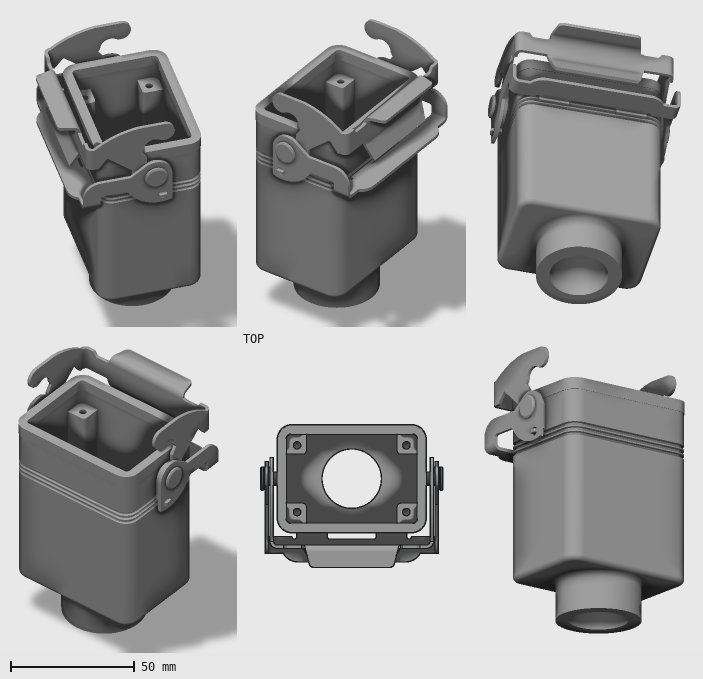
import cadquery as cq
import math

DIAGONAL = math.sqrt(0.5)

OVERALL_X, OVERALL_Y = 74.0, 58.0

BODY_X, BODY_Y = 60.0, 43.6
LIP_X, LIP_Y = 60.5, 43.9
CORNER_R = 6.0
RIM_Z = 93.1
LIP_HEIGHT = 4.9
LIP_Z = RIM_Z - LIP_HEIGHT
BASE_Z = 15.9
BASE_FILLET = 2.1

SPOUT_D = 35.0
CABLE_HOLE_D = 24.0

GROOVE_COUNT = 3
GROOVE_TOP_Z = 74.5
GROOVE_PITCH = 2.1
GROOVE_HEIGHT = 1.5
GROOVE_DEPTH = 1.0
GROOVE_BEVEL = 0.3

MOUTH_X, MOUTH_Y = 53.0, 36.0
MOUTH_R = 1.7
CAVITY_GROWTH = 0.9
CAVITY_X, CAVITY_Y = MOUTH_X + CAVITY_GROWTH, MOUTH_Y + CAVITY_GROWTH
CAVITY_R = 3.2
FLOOR_THICKNESS = 3.5
FLOOR_Z = BASE_Z + FLOOR_THICKNESS

POST_TOP_Z = 81.3
POST_SIDE = 8.1
POST_EDGE_R = 1.4
SCREW_X, SCREW_Y = 22.1, 13.5
QUADRANTS = [(-1, -1), (-1, 1), (1, -1), (1, 1)]
SCREW_D = 3.0
SCREW_DEPTH = 8.7
DRILL_TIP_ANGLE = 118.0

SHEET = 1.4
BEND_IN = 1.4
BEND_OUT = BEND_IN + SHEET

PIVOT_Z = 84.0
RIVET_D = 2.9
SHANK_D = 5.5
HEAD_D = 9.6
HEAD_IN_X, HEAD_OUT_X = 35.5, OVERALL_X / 2
HEAD_BEVEL_R = 0.7
HEAD_BEVEL_X = 0.4

HOOK_OUT_X = 33.1
HOOK_IN_X = HOOK_OUT_X - SHEET
BAIL_OUT_X = 35.1
BAIL_IN_X = BAIL_OUT_X - SHEET

HOOK_TOP_Z = 109.0
TIP_R = 4.3
TIP_Y, TIP_Z = 4.4, HOOK_TOP_Z - TIP_R
CATCH_R = 4.4
CATCH_Y, CATCH_Z = 0.0, 97.5
CREST_Y, CREST_Z = -16.1, 106.7
CREST_START_Y = -6.8
SPUR_Y, SPUR_Z = -5.3, 95.6
NOTCH_Y, NOTCH_Z = -19.8, 96.1
NOTCH_END_Y = -23.5
NOTCH_R = 0.7
NECK_FRONT_Z, NECK_BACK_Z = 87.2, 92.5
NECK_BACK_Y, NECK_FRONT_Y = -3.0, -9.2
EYE_R = 5.5
HEEL_R = 8.1
HEEL_Z = 74.3

TAB_Y, TAB_Z = 3.0, 73.1
TAB_WIDTH = 3.3
TAB_TIP_R = 0.8
TAB_OUT_X = 36.2
TAB_HOLE_D = 3.6

CROSS_FRONT_Y = -28.2
CROSS_BACK_Y = CROSS_FRONT_Y + SHEET
CROSS_BEND_Y = CROSS_FRONT_Y + BEND_OUT
CROSS_BOTTOM_Z, CROSS_TOP_Z = 91.5, 101.6
DIP_Z = 99.5
DIP_IN_X, DIP_OUT_X = 20.4, 26.3
DIP_SLOPE_X = 1.3
DIP_R = 0.9

HANDLE_END_Y = LIP_Y / 2 - OVERALL_Y
HANDLE_TOP_Z = 102.8
HANDLE_ROOT_X, HANDLE_END_X = 19.2, 16.9
FLAP_ROOT_X, FLAP_END_X = 20.3, 17.7
FLAP_BEND_Z, FLAP_END_Z = 89.9, 81.8
FLAP_ANGLE = 24.0
PLATE_CORNER_R = 1.2
HANDLE_CORNER_R = 2.0

BAIL_EYE_R = 7.0
BAIL_SWEEP_R = 15.2
BAIL_SWEEP_Y, BAIL_SWEEP_Z = 2.1, 84.7
BAIL_SWEEP_END_Y = -9.4
BAIL_THROAT_Y = -12.1
BAIL_SHOULDER_ANGLE = 54.0
BAIL_ARM_TOP_Z = 85.1
BAIL_ARM_WIDTH = 7.0
BAIL_LEG_FRONT_Y = -30.3
BAIL_LEG_BACK_Y = BAIL_LEG_FRONT_Y + BAIL_ARM_WIDTH
STRAP_BOTTOM_Z = 71.9
STRAP_TOP_Z = STRAP_BOTTOM_Z + SHEET
STRAP_FRONT_Y = -33.8
STRAP_FRONT_X = 21.7
STRAP_SHOULDER_R = 7.1
STRAP_RELIEF_Y = -24.4
STOP_IN_X, STOP_OUT_X = 9.9, 22.3
STOP_CORNER_R = 1.3
STOP_BOTTOM_Z = 70.8
RELIEF_R = 0.93
RELIEF_CORNER_R = 1.1


def rounded_prism(size_x, size_y, corner_r, z_from, z_to):
    prism = cq.Workplane("XY").workplane(offset=z_from).rect(size_x, size_y).extrude(z_to - z_from)
    return prism.edges("|Z").fillet(corner_r)


def rod(diameter, x_from, x_to, y=0.0, z=PIVOT_Z):
    start = cq.Workplane("YZ", origin=(x_from, 0, 0)).center(y, z)
    return start.circle(diameter / 2).extrude(x_to - x_from)


def on_both_sides(shape):
    return shape.union(shape.mirror("YZ"))


def groove_cutter(top_z):
    """Ring with sloping walls that cuts one groove all around the hood."""
    bottom_z = top_z - GROOVE_HEIGHT
    wall_angle = math.degrees(math.atan2(GROOVE_DEPTH, GROOVE_BEVEL))
    lower = rounded_prism(BODY_X, BODY_Y, CORNER_R, bottom_z, top_z).faces("<Z").wires().toPending()
    lower = lower.extrude(GROOVE_BEVEL, taper=wall_angle, combine=False)
    upper = lower.mirror("XY", (0, 0, (bottom_z + top_z) / 2))
    core = rounded_prism(BODY_X - 2 * GROOVE_DEPTH, BODY_Y - 2 * GROOVE_DEPTH,
                         CORNER_R - GROOVE_DEPTH, bottom_z, top_z)
    block = cq.Workplane("XY").workplane(offset=bottom_z).rect(LIP_X, LIP_Y).extrude(GROOVE_HEIGHT)
    return block.cut(core).cut(lower).cut(upper)


def screw_hole(x, y):
    """Blind hole with a conical drill tip."""
    tip_depth = SCREW_D / 2 / math.tan(math.radians(DRILL_TIP_ANGLE / 2))
    radius = SCREW_D / 2
    profile = [(0, 0), (radius, 0), (radius, -SCREW_DEPTH), (0, -SCREW_DEPTH - tip_depth)]
    hole = cq.Workplane("XZ").polyline(profile).close().revolve(360, (0, 0), (0, 1))
    return hole.translate((x, y, POST_TOP_Z))


def make_cavity():
    cavity = rounded_prism(CAVITY_X, CAVITY_Y, CAVITY_R, FLOOR_Z, LIP_Z)
    cavity = cavity.union(rounded_prism(MOUTH_X, MOUTH_Y, MOUTH_R, LIP_Z, RIM_Z))
    post = rounded_prism(2 * POST_SIDE, 2 * POST_SIDE, POST_EDGE_R, FLOOR_Z, POST_TOP_Z)
    for side_x, side_y in QUADRANTS:
        cavity = cavity.cut(post.translate((side_x * MOUTH_X / 2, side_y * MOUTH_Y / 2, 0)))
    return cavity


def make_spout():
    """Round spout that flares into the underside of the box."""
    radius = SPOUT_D / 2
    flare = BASE_FILLET * (1 - DIAGONAL)
    profile = (
        cq.Workplane("XZ")
        .lineTo(-radius, 0)
        .lineTo(-radius, BASE_Z - BASE_FILLET)
        .threePointArc((-radius - flare, BASE_Z - flare), (-radius - BASE_FILLET, BASE_Z))
        .lineTo(0, BASE_Z)
        .close()
    )
    return profile.revolve(360, (0, 0), (0, 1))


def make_housing():
    housing = rounded_prism(BODY_X, BODY_Y, CORNER_R, BASE_Z, LIP_Z)
    housing = housing.faces("<Z").edges().fillet(BASE_FILLET)
    housing = housing.union(make_spout())
    housing = housing.union(rounded_prism(LIP_X, LIP_Y, CORNER_R, LIP_Z, RIM_Z))
    for index in range(GROOVE_COUNT):
        housing = housing.cut(groove_cutter(GROOVE_TOP_Z - index * GROOVE_PITCH))
    housing = housing.cut(make_cavity())
    housing = housing.cut(cq.Workplane("XY").circle(CABLE_HOLE_D / 2).extrude(RIM_Z))
    for side_x, side_y in QUADRANTS:
        housing = housing.cut(screw_hole(side_x * SCREW_X, side_y * SCREW_Y))
    return housing.cut(rod(RIVET_D, -BODY_X / 2, BODY_X / 2))


def make_pivot_pin():
    head = rod(HEAD_D, HEAD_IN_X, HEAD_OUT_X).faces("<X or >X").chamfer(HEAD_BEVEL_X, HEAD_BEVEL_R)
    shank = rod(SHANK_D, BODY_X / 2, HEAD_IN_X)
    rivet_end = rod(RIVET_D, CAVITY_X / 2, BODY_X / 2)
    return head.union(shank).union(rivet_end)


def make_hook_plate():
    reach = math.hypot(TIP_Y - CATCH_Y, TIP_Z - CATCH_Z)
    toward_y, toward_z = (CATCH_Y - TIP_Y) / reach, (CATCH_Z - TIP_Z) / reach
    tangent = (TIP_Y + TIP_R * toward_y, TIP_Z + TIP_R * toward_z)
    eye_z = PIVOT_Z + math.sqrt(EYE_R**2 - NECK_BACK_Y**2)
    eye_mid = EYE_R * DIAGONAL
    catch_mid = CATCH_R * DIAGONAL
    heel_y, heel_z = NECK_FRONT_Y + HEEL_R, HEEL_Z + HEEL_R
    heel_mid = HEEL_R * DIAGONAL
    outline = (
        cq.Workplane("YZ", origin=(HOOK_IN_X, 0, 0))
        .moveTo(TIP_Y, HOOK_TOP_Z)
        .lineTo(CREST_START_Y, HOOK_TOP_Z)
        .threePointArc((CREST_Y, CREST_Z), (CROSS_BEND_Y, CROSS_TOP_Z))
        .lineTo(CROSS_BEND_Y, CROSS_BOTTOM_Z)
        .lineTo(NOTCH_END_Y, CROSS_BOTTOM_Z)
        .lineTo(NOTCH_Y, NOTCH_Z)
        .lineTo(NECK_FRONT_Y, NECK_FRONT_Z)
        .lineTo(NECK_FRONT_Y, heel_z)
        .threePointArc((heel_y - heel_mid, heel_z - heel_mid), (heel_y, HEEL_Z))
        .lineTo(EYE_R, HEEL_Z)
        .lineTo(EYE_R, PIVOT_Z)
        .threePointArc((eye_mid, PIVOT_Z + eye_mid), (NECK_BACK_Y, eye_z))
        .lineTo(NECK_BACK_Y, NECK_BACK_Z)
        .lineTo(SPUR_Y, SPUR_Z)
        .lineTo(CATCH_Y - CATCH_R, CATCH_Z)
        .threePointArc((CATCH_Y - catch_mid, CATCH_Z + catch_mid), tangent)
        .threePointArc((TIP_Y + TIP_R, TIP_Z), (TIP_Y, HOOK_TOP_Z))
        .close()
    )
    notch_peak = cq.selectors.NearestToPointSelector((HOOK_IN_X + SHEET / 2, NOTCH_Y, NOTCH_Z))
    return outline.extrude(SHEET).edges(notch_peak).fillet(NOTCH_R)


def make_hook_tab():
    """Tab that hangs from the hook plate and turns outward through the bail."""
    bar = cq.Workplane("YZ", origin=(HOOK_IN_X, 0, 0)).center(TAB_Y, TAB_Z)
    bar = bar.rect(TAB_WIDTH, SHEET).extrude(TAB_OUT_X - HOOK_IN_X)
    bar = bar.edges("|Z and >X").fillet(TAB_TIP_R)
    hanger = cq.Workplane("YZ", origin=(HOOK_IN_X, 0, 0)).center(TAB_Y, (TAB_Z + HEEL_Z) / 2)
    hanger = hanger.rect(TAB_WIDTH, HEEL_Z - TAB_Z).extrude(SHEET)
    return bar.union(hanger)


def make_cross_plate():
    """Channel that bends around both front corners, open toward the back."""
    height = CROSS_TOP_Z - CROSS_BOTTOM_Z

    def bent_block(half_x, front_y, bend_r):
        block = cq.Workplane("XY").workplane(offset=CROSS_BOTTOM_Z).moveTo(-half_x, front_y)
        block = block.rect(2 * half_x, -front_y, centered=False).extrude(height)
        return block.edges("|Z and <Y").fillet(bend_r)

    channel = bent_block(HOOK_OUT_X, CROSS_FRONT_Y, BEND_OUT)
    channel = channel.cut(bent_block(HOOK_IN_X, CROSS_BACK_Y, BEND_IN))
    back = cq.Workplane("XY").workplane(offset=CROSS_BOTTOM_Z).moveTo(-HOOK_OUT_X, CROSS_BEND_Y)
    back = back.rect(2 * HOOK_OUT_X, -CROSS_BEND_Y, centered=False).extrude(height)
    return channel.cut(back).cut(on_both_sides(make_dip()))


def make_dip():
    """Half of the material missing from the upper edge: the handle bend and one dip."""
    handle_bend_z = HANDLE_TOP_Z - BEND_OUT
    outline = [(0, CROSS_TOP_Z), (0, handle_bend_z), (DIP_IN_X - SHEET / 2, handle_bend_z),
               (DIP_IN_X, DIP_Z), (DIP_OUT_X, DIP_Z), (DIP_OUT_X + DIP_SLOPE_X, CROSS_TOP_Z)]
    dip = cq.Workplane("XZ").polyline(outline).close().extrude(-CROSS_FRONT_Y)
    outer_corner = cq.selectors.NearestToPointSelector((DIP_OUT_X, CROSS_FRONT_Y / 2, DIP_Z))
    return dip.edges(outer_corner).fillet(DIP_R)


def make_handle():
    bend_y, bend_z = CROSS_FRONT_Y - BEND_IN, HANDLE_TOP_Z - BEND_OUT
    profile = (
        cq.Workplane("YZ", origin=(-HANDLE_ROOT_X, 0, 0))
        .moveTo(CROSS_BACK_Y, bend_z)
        .threePointArc((bend_y + BEND_OUT * DIAGONAL, bend_z + BEND_OUT * DIAGONAL), (bend_y, HANDLE_TOP_Z))
        .lineTo(HANDLE_END_Y, HANDLE_TOP_Z)
        .lineTo(HANDLE_END_Y, HANDLE_TOP_Z - SHEET)
        .lineTo(bend_y, HANDLE_TOP_Z - SHEET)
        .threePointArc((bend_y + BEND_IN * DIAGONAL, bend_z + BEND_IN * DIAGONAL), (CROSS_FRONT_Y, bend_z))
        .close()
    )
    plan = [(-HANDLE_ROOT_X, CROSS_BACK_Y), (-HANDLE_END_X, HANDLE_END_Y),
            (HANDLE_END_X, HANDLE_END_Y), (HANDLE_ROOT_X, CROSS_BACK_Y)]
    trim = cq.Workplane("XY").polyline(plan).close().extrude(HOOK_TOP_Z)
    trim = trim.edges("|Z and <Y").fillet(HANDLE_CORNER_R)
    return profile.extrude(2 * HANDLE_ROOT_X).intersect(trim)


def make_flap():
    slope = math.radians(FLAP_ANGLE)
    centre_y = CROSS_FRONT_Y - BEND_IN

    def bend_point(radius, angle):
        return (centre_y + radius * math.cos(angle), FLAP_BEND_Z - radius * math.sin(angle))

    def flap_end(start):
        return (start[0] - length * math.sin(slope), start[1] - length * math.cos(slope))

    front_start = bend_point(BEND_IN, slope)
    back_start = bend_point(BEND_OUT, slope)
    length = (back_start[1] - FLAP_END_Z) / math.cos(slope)
    outline = (
        cq.Workplane("YZ", origin=(-FLAP_ROOT_X, 0, 0))
        .moveTo(CROSS_BACK_Y, CROSS_BOTTOM_Z)
        .lineTo(CROSS_BACK_Y, FLAP_BEND_Z)
        .threePointArc(bend_point(BEND_OUT, slope / 2), back_start)
        .lineTo(*flap_end(back_start))
        .lineTo(*flap_end(front_start))
        .lineTo(*front_start)
        .threePointArc(bend_point(BEND_IN, slope / 2), (CROSS_FRONT_Y, FLAP_BEND_Z))
        .lineTo(CROSS_FRONT_Y, CROSS_BOTTOM_Z)
        .close()
    )
    flap = outline.extrude(2 * FLAP_ROOT_X)
    front_shape = [(-FLAP_ROOT_X, CROSS_BOTTOM_Z), (-FLAP_END_X, FLAP_END_Z),
                   (FLAP_END_X, FLAP_END_Z), (FLAP_ROOT_X, CROSS_BOTTOM_Z)]
    trim = cq.Workplane("XZ").polyline(front_shape).close().extrude(-HANDLE_END_Y)
    trim = trim.edges("|Y and <Z").fillet(PLATE_CORNER_R)
    return flap.intersect(trim)


def make_bail_plate():
    arm_bottom_z = BAIL_ARM_TOP_Z - BAIL_ARM_WIDTH
    elbow_r = BAIL_ARM_WIDTH
    elbow_y = BAIL_LEG_FRONT_Y + elbow_r
    elbow_mid = (elbow_y - elbow_r * DIAGONAL, arm_bottom_z + elbow_r * DIAGONAL)
    shoulder = math.radians(BAIL_SHOULDER_ANGLE)
    shoulder_y = -BAIL_EYE_R * math.cos(shoulder)
    shoulder_z = PIVOT_Z + BAIL_EYE_R * math.sin(shoulder)
    arm_start_y = shoulder_y - (shoulder_z - BAIL_ARM_TOP_Z) * math.tan(shoulder)

    def sweep_z(y):
        return BAIL_SWEEP_Z - math.sqrt(BAIL_SWEEP_R**2 - (y - BAIL_SWEEP_Y) ** 2)

    plate = (
        cq.Workplane("YZ", origin=(BAIL_IN_X, 0, 0))
        .moveTo(BAIL_EYE_R, PIVOT_Z)
        .threePointArc((0, PIVOT_Z + BAIL_EYE_R), (shoulder_y, shoulder_z))
        .lineTo(arm_start_y, BAIL_ARM_TOP_Z)
        .lineTo(elbow_y, BAIL_ARM_TOP_Z)
        .threePointArc(elbow_mid, (BAIL_LEG_FRONT_Y, arm_bottom_z))
        .lineTo(BAIL_LEG_FRONT_Y, STRAP_BOTTOM_Z)
        .lineTo(BAIL_LEG_BACK_Y, STRAP_BOTTOM_Z)
        .lineTo(BAIL_LEG_BACK_Y, arm_bottom_z)
        .lineTo(BAIL_THROAT_Y, arm_bottom_z)
        .lineTo(BAIL_SWEEP_END_Y, sweep_z(BAIL_SWEEP_END_Y))
        .threePointArc((BAIL_SWEEP_Y, sweep_z(BAIL_SWEEP_Y)), (BAIL_EYE_R, sweep_z(BAIL_EYE_R)))
        .close()
        .extrude(SHEET)
    )
    for corner_y in (BAIL_LEG_BACK_Y, BAIL_THROAT_Y):
        corner = cq.selectors.NearestToPointSelector((BAIL_IN_X + SHEET / 2, corner_y, arm_bottom_z))
        plate = plate.edges(corner).fillet(PLATE_CORNER_R)
    return plate.cut(rod(TAB_HOLE_D, BAIL_IN_X, BAIL_OUT_X, TAB_Y, TAB_Z))


def make_strap():
    shoulder_drop = BAIL_LEG_FRONT_Y - STRAP_FRONT_Y
    centre_y = STRAP_FRONT_Y + STRAP_SHOULDER_R

    def shoulder_point(y):
        return (STRAP_FRONT_X + math.sqrt(STRAP_SHOULDER_R**2 - (centre_y - y) ** 2), y)

    bulge = RELIEF_CORNER_R * (1 - DIAGONAL)
    relief_mid = (STOP_IN_X - bulge, STRAP_RELIEF_Y + bulge)
    shoulder_mid = shoulder_point(STRAP_FRONT_Y + shoulder_drop / 4)
    half = (
        cq.Workplane("XY").workplane(offset=STRAP_BOTTOM_Z)
        .moveTo(0, STRAP_FRONT_Y)
        .lineTo(STRAP_FRONT_X, STRAP_FRONT_Y)
        .threePointArc(shoulder_mid, shoulder_point(BAIL_LEG_FRONT_Y))
        .lineTo(BAIL_OUT_X, BAIL_LEG_FRONT_Y)
        .lineTo(BAIL_OUT_X, BAIL_LEG_BACK_Y)
        .lineTo(STOP_IN_X, BAIL_LEG_BACK_Y)
        .threePointArc(relief_mid, (STOP_IN_X - RELIEF_CORNER_R, STRAP_RELIEF_Y))
        .lineTo(0, STRAP_RELIEF_Y)
        .close()
        .extrude(SHEET)
    )
    relief = cq.Workplane("XY").workplane(offset=STRAP_BOTTOM_Z)
    relief = relief.center(STOP_OUT_X + RELIEF_R, STRAP_RELIEF_Y + RELIEF_R).circle(RELIEF_R).extrude(SHEET)
    return half.cut(relief)


def make_stop_tab():
    """Tab at the back of the strap, bent straight down."""
    tab = cq.Workplane("XY").workplane(offset=STOP_BOTTOM_Z).moveTo(STOP_IN_X, BAIL_LEG_BACK_Y)
    tab = tab.rect(STOP_OUT_X - STOP_IN_X, SHEET, centered=False).extrude(STRAP_TOP_Z - STOP_BOTTOM_Z)
    return tab.edges(">Y and >Z").fillet(STOP_CORNER_R)


def make_bail_half():
    half = make_bail_plate().union(make_strap())
    leg_y = (BAIL_LEG_FRONT_Y + BAIL_LEG_BACK_Y) / 2
    inside = cq.selectors.NearestToPointSelector((BAIL_IN_X, leg_y, STRAP_TOP_Z))
    half = half.edges("|Y").edges(inside).fillet(BEND_IN)
    outside = cq.selectors.NearestToPointSelector((BAIL_OUT_X, leg_y, STRAP_BOTTOM_Z))
    half = half.edges("|Y").edges(outside).fillet(BEND_OUT)
    return half.union(make_stop_tab())


def make_latch():
    side = make_pivot_pin().union(make_hook_plate()).union(make_hook_tab()).union(make_bail_half())
    latch = on_both_sides(side)
    return latch.union(make_cross_plate()).union(make_handle()).union(make_flap())


housing = make_housing()
latch = make_latch()
result = cq.Compound.makeCompound([housing.solids().val(), latch.solids().val()])